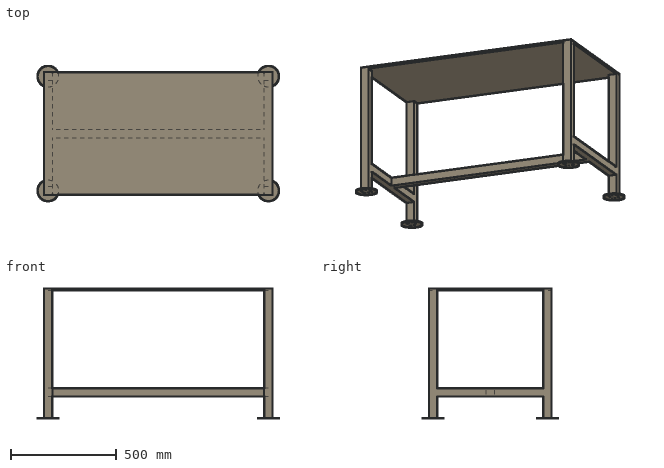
import cadquery as cq

overall_length = 1140.0
overall_width = 640.0
overall_height = 615.0

foot_diameter = 100.0
foot_thickness = 4.0
bar_size = 40.0
top_thickness = 10.0
rail_bottom = 104.0

leg_spacing_x = overall_length - foot_diameter
leg_spacing_y = overall_width - foot_diameter
top_length = leg_spacing_x + bar_size
top_width = leg_spacing_y + bar_size
top_underside = overall_height - top_thickness


def block(length, width, bottom, top, x=0, y=0):
    """Upright box centred on (x, y), spanning the heights bottom to top."""
    return (
        cq.Workplane("XY", origin=(x, y, bottom))
        .rect(length, width)
        .extrude(top - bottom)
    )


def leg_with_foot(x, y):
    """Square leg standing on a round foot plate."""
    foot = cq.Workplane("XY", origin=(x, y, 0)).circle(foot_diameter / 2).extrude(foot_thickness)
    return foot.union(block(bar_size, bar_size, foot_thickness, top_underside, x, y))


result = block(top_length, top_width, top_underside, overall_height)

rail_top = rail_bottom + bar_size
for x in (-leg_spacing_x / 2, leg_spacing_x / 2):
    for y in (-leg_spacing_y / 2, leg_spacing_y / 2):
        result = result.union(leg_with_foot(x, y))
    result = result.union(block(bar_size, leg_spacing_y, rail_bottom, rail_top, x))

result = result.union(block(leg_spacing_x, bar_size, rail_bottom, rail_top))